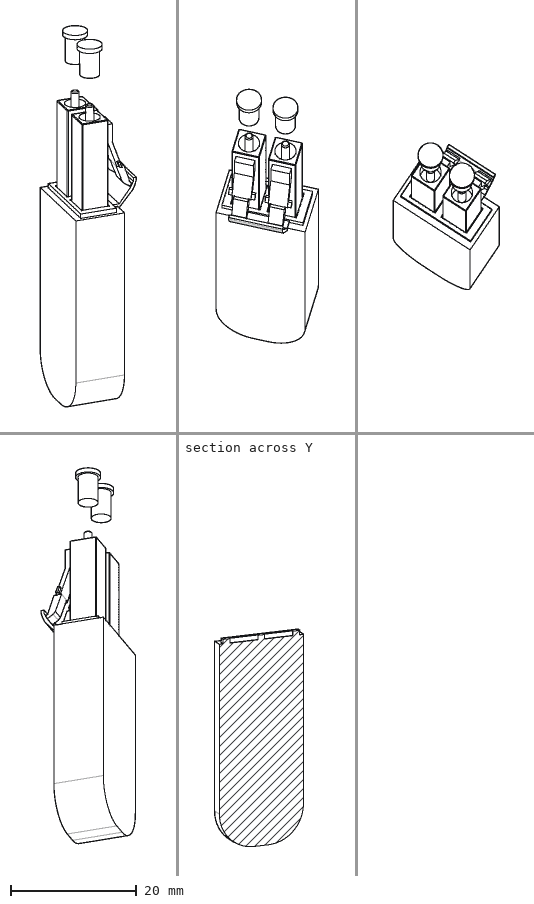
import cadquery as cq

OVERALL_DEPTH = 11.65

HOUSING_WIDTH = 14.6
HOUSING_DEPTH = 8.4
SHOULDER_Z = 34.1
END_RADIUS = 6.1
PLINTH_WIDTH = 13.3
PLINTH_DEPTH = 6.15
PLINTH_HEIGHT = 0.75
PLINTH_TOP_Z = SHOULDER_Z + PLINTH_HEIGHT
BACK_Y = HOUSING_DEPTH / 2

CONNECTOR_SPACING = 6.0
CONNECTOR_X = CONNECTOR_SPACING / 2
BARREL_SIZE = 4.5
POCKET_SIZE = 4.8
BARREL_TOP_Z = 49.65
BARREL_BEVEL = 0.1
BARREL_BACK_Y = BARREL_SIZE / 2
FERRULE_DIAMETER = 1.3
FERRULE_TOP_Z = 51.8
FERRULE_BEVEL = 0.2
BORE_DIAMETER = 3.35

ARM_WIDTH = 3.1
ARM_TOP_Z = 48.55
ARM_PAD_Y = 3.3
ARM_OUTER_BEND_Z = 45.3
ARM_INNER_BEND_Z = 46.05
TIP_WIDTH = 2.35
TIP_STEP_Z = 41.0
TIP_STEP_INNER_Y = 4.05
TIP_STEP_OUTER_Y = 5.35
TIP_OUTER_BEND = (6.4, 37.9)
TIP_INNER_LOW_BEND = (5.5, 37.7)
TIP_INNER_HIGH_BEND = (5.1, 38.15)
TIP_CONTACT_LOW = 0.1
TIP_CONTACT_HIGH = 0.6
ARM_STEP_Y = 4.85
WING_SPAN = 4.3
WING_TOP_Z = 41.95
WING_THICKNESS = 0.4
WING_TOP_Y = 4.0
WING_BOTTOM_Y = 4.35

TRIGGER_WIDTH = 8.85
TRIGGER_SHELF_THICKNESS = 0.4
TRIGGER_SHELF_Z = SHOULDER_Z + TRIGGER_SHELF_THICKNESS
TRIGGER_SHELF_END_Y = 4.5
TRIGGER_FOOT_Z = 33.5
TRIGGER_TOP_Z = 38.6
TRIGGER_BACK_Y = OVERALL_DEPTH - BACK_Y

TRIGGER_LOWER_BEND = (6.4, 37.0)
TRIGGER_UPPER_BEND = (6.9, 37.95)
TRIGGER_OUTER_LOW_BEND = (6.85, 36.55)
TRIGGER_OUTER_HIGH_BEND = (7.2, 37.35)
TRIGGER_TIP_BEND_Z = 38.15

CAP_TOP_Z = 62.25
CAP_HEAD_DIAMETER = 4.0
CAP_HEAD_HEIGHT = 0.75
CAP_SHAFT_DIAMETER = 3.2
CAP_SHAFT_LENGTH = 4.5
BORE_DEPTH = CAP_SHAFT_LENGTH


def block(width, depth, bottom_z, top_z):
    """Upright block centred on the origin, between two heights."""
    return (
        cq.Workplane("XY", origin=(0, 0, bottom_z))
        .rect(width, depth)
        .extrude(top_z - bottom_z)
    )


def cylinder(diameter, bottom_z, top_z):
    """Upright cylinder on the Z axis, between two heights."""
    return (
        cq.Workplane("XY", origin=(0, 0, bottom_z))
        .circle(diameter / 2)
        .extrude(top_z - bottom_z)
    )


def side_plate(outline, width):
    """Plate with a (y, z) outline, centred on X = 0."""
    return cq.Workplane("YZ").polyline(outline).close().extrude(width / 2, both=True)


def on_trigger(fraction):
    """Point on the inner surface of the trigger, between its two bends."""
    (low_y, low_z), (high_y, high_z) = TRIGGER_LOWER_BEND, TRIGGER_UPPER_BEND
    return (low_y + fraction * (high_y - low_y), low_z + fraction * (high_z - low_z))


def make_housing():
    body = block(HOUSING_WIDTH, HOUSING_DEPTH, 0, SHOULDER_Z)
    body = body.faces("<Z").edges("|Y").fillet(END_RADIUS)
    plinth = block(PLINTH_WIDTH, PLINTH_DEPTH, SHOULDER_Z, PLINTH_TOP_Z)
    pocket = block(POCKET_SIZE, POCKET_SIZE, SHOULDER_Z, PLINTH_TOP_Z)
    for side in (-1, 1):
        plinth = plinth.cut(pocket.translate((side * CONNECTOR_X, 0, 0)))
    return body.union(plinth)


def make_latch_arm():
    arm = side_plate(
        [
            (0, ARM_TOP_Z),
            (ARM_PAD_Y, ARM_TOP_Z),
            (ARM_PAD_Y, ARM_OUTER_BEND_Z),
            (ARM_STEP_Y, TIP_STEP_Z),
            (TIP_STEP_INNER_Y, TIP_STEP_Z),
            (BARREL_BACK_Y, ARM_INNER_BEND_Z),
            (0, ARM_INNER_BEND_Z),
        ],
        ARM_WIDTH,
    )
    tip = side_plate(
        [
            (TIP_STEP_INNER_Y, TIP_STEP_Z),
            (TIP_STEP_OUTER_Y, TIP_STEP_Z),
            TIP_OUTER_BEND,
            on_trigger(TIP_CONTACT_HIGH),
            on_trigger(TIP_CONTACT_LOW),
            TIP_INNER_LOW_BEND,
            TIP_INNER_HIGH_BEND,
        ],
        TIP_WIDTH,
    )
    wings = side_plate(
        [
            (WING_TOP_Y, WING_TOP_Z),
            (WING_TOP_Y + WING_THICKNESS, WING_TOP_Z),
            (WING_BOTTOM_Y + WING_THICKNESS, TIP_STEP_Z),
            (WING_BOTTOM_Y, TIP_STEP_Z),
        ],
        WING_SPAN,
    )
    return arm.union(tip).union(wings)


def make_connector(x):
    barrel = block(BARREL_SIZE, BARREL_SIZE, SHOULDER_Z, BARREL_TOP_Z)
    barrel = barrel.edges("|Z or >Z").chamfer(BARREL_BEVEL)
    barrel = barrel.union(make_latch_arm())
    bore_floor_z = BARREL_TOP_Z - BORE_DEPTH
    barrel = barrel.cut(cylinder(BORE_DIAMETER, bore_floor_z, BARREL_TOP_Z))
    ferrule = cylinder(FERRULE_DIAMETER, bore_floor_z, FERRULE_TOP_Z)
    ferrule = ferrule.faces(">Z").chamfer(FERRULE_BEVEL)
    return barrel.union(ferrule).translate((x, 0, 0))


def make_trigger():
    return side_plate(
        [
            (PLINTH_DEPTH / 2, SHOULDER_Z),
            (BACK_Y, SHOULDER_Z),
            (BACK_Y, TRIGGER_FOOT_Z),
            TRIGGER_OUTER_LOW_BEND,
            TRIGGER_OUTER_HIGH_BEND,
            (TRIGGER_BACK_Y, TRIGGER_TIP_BEND_Z),
            (TRIGGER_BACK_Y, TRIGGER_TOP_Z),
            (TRIGGER_UPPER_BEND[0], TRIGGER_TOP_Z),
            TRIGGER_UPPER_BEND,
            TRIGGER_LOWER_BEND,
            (TRIGGER_SHELF_END_Y, TRIGGER_SHELF_Z),
            (PLINTH_DEPTH / 2, TRIGGER_SHELF_Z),
        ],
        TRIGGER_WIDTH,
    )


def make_cap(x):
    head_bottom_z = CAP_TOP_Z - CAP_HEAD_HEIGHT
    head = cylinder(CAP_HEAD_DIAMETER, head_bottom_z, CAP_TOP_Z)
    shaft = cylinder(CAP_SHAFT_DIAMETER, head_bottom_z - CAP_SHAFT_LENGTH, head_bottom_z)
    return head.union(shaft).translate((x, 0, 0))


housing = make_housing()
trigger = make_trigger()
connectors = []
caps = []
for side in (-1, 1):
    connectors.append(make_connector(side * CONNECTOR_X).val())
    caps.append(make_cap(side * CONNECTOR_X).val())

result = cq.Compound.makeCompound([housing.val(), trigger.val(), *connectors, *caps])